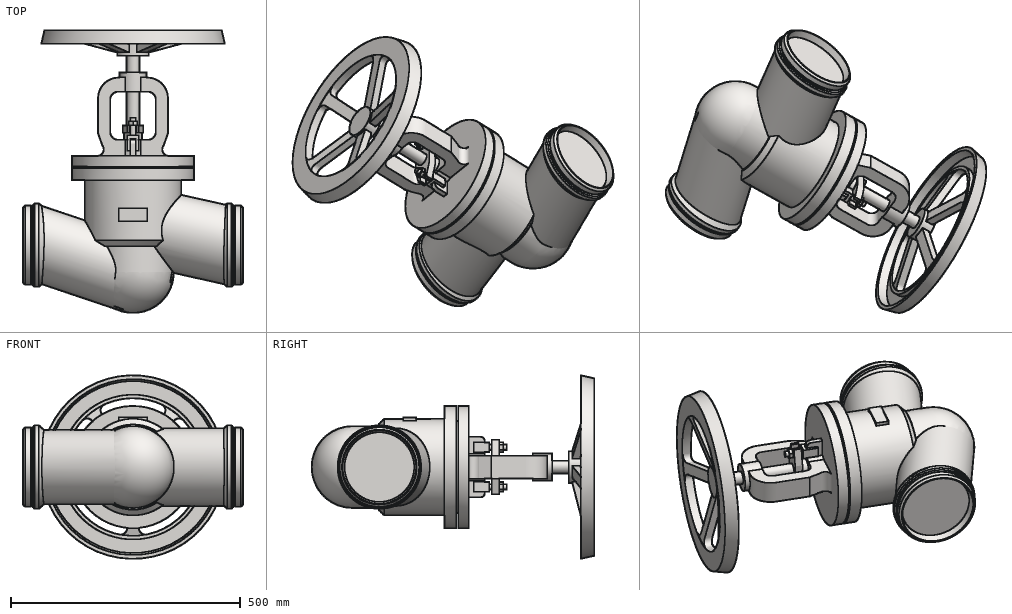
import cadquery as cq
import math


body_radius = 105.5
body_bottom = -2.0
body_chamfer = 12.5
bowl_radius = 89.0
bowl_center = -58.5

flange_radius = 266.5 / 2
body_flange_bottom = 141.5
body_flange_top = 167.5
gasket_radius = 100.5
bonnet_flange_bottom = 171.0
bonnet_top = 194.5

inlet_radius = 162.0 / 2
inlet_slope = math.tan(math.radians(18.6))
inlet_height = -66.5
inlet_inner_x = -7.5
outlet_radius = 170.0 / 2
outlet_slope = math.tan(math.radians(12.6))
outlet_height = 46.0
outlet_inner_x = 24.5

end_face = 480.0 / 2
end_radius = 173.0 / 2
end_chamfer = 5.0
land_inner = 222.5
groove_x = 219.0
groove_depth = 2.5
ring_radius = 91.0
ring_chamfer = 3.0
ring_outer = 217.5
ring_inner = 205.0
end_inner = 193.5
end_inner_radius = 80.5
bore_mouth_radius = 80.0
bore_floor_radius = 76.0
bore_depth = 16.5

yoke_half_width = 76.5
yoke_half_depth = 50.0 / 2
yoke_top = 365.0
yoke_shoulder_radius = 45.5
yoke_knee = 244.0
yoke_neck_half_width = 67.0
yoke_neck_height = 217.5
yoke_waist_half_width = 64.0
yoke_waist_height = 209.5
yoke_foot_half_width = 76.5
window_half_width = 49.0
window_bottom = 230.0
window_top = 334.0
window_fillet = 16.5
boss_radius = 60.0 / 2
boss_top = 376.0
stem_radius = 14.0

gland_neck_radius = 40.0 / 2
gland_bottom = 244.5
gland_top = 261.0
gland_half_width = 23.0
gland_shoulder_z = 23.0
gland_end_half_width = 13.0
gland_half_length = 60.0
gland_slot_width = 15.5
bolt_z = 43.0
bolt_radius = 6.0
bolt_tip = 278.0
nut_height = 8.5
nut_across_corners = 22.0
clevis_width = 24.0
clevis_depth = 21.5
clevis_bottom = 205.5
clevis_top = 239.5
clevis_web = 8.0
lug_thickness = 11.0
lug_half_span = 132.5 / 2
lug_top = 230.0
lug_fillet = 10.0

wheel_radius = 200.0
wheel_taper = 7.0
wheel_bottom = 438.5
wheel_top = 468.0
rim_wall = 8.5
channel_depth = 20.5
channel_taper = 4.5
channel_inner_radius = 157.5
lip_bottom = 448.0
rim_inner_radius = 149.5
hub_radius = 69.5 / 2
hub_bottom = 412.0
hub_top = 442.0
spoke_count = 5
spoke_width = 26.5
spoke_thickness = 18.0
spoke_start = 420.0
spoke_end = 451.5
spoke_fillet = 13.5

plate_width = 61.5
plate_bottom = 52.0
plate_top = 80.0
plate_face = 108.5


def disc(radius, bottom, top, x=0.0, z=0.0):
    """Cylinder along Y between two heights."""
    axis = cq.Vector(0, 1, 0)
    return cq.Workplane(cq.Solid.makeCylinder(radius, top - bottom, cq.Vector(x, bottom, z), axis))


def block(width, bottom, top, depth, z=0.0):
    """Box centred on X = 0 between two heights."""
    height = top - bottom
    return cq.Workplane("XY").box(width, height, depth).translate((0, (bottom + top) / 2, z))


def turned_on_spindle(points):
    """Solid of revolution about Y from (radius, height) points."""
    return cq.Workplane("XY").polyline(points).close().revolve(360, (0, 0, 0), (0, 1, 0))


def make_body():
    shoulder = body_bottom + body_chamfer
    barrel = turned_on_spindle([
        (0, body_bottom),
        (body_radius - body_chamfer, body_bottom),
        (body_radius, shoulder),
        (body_radius, body_flange_bottom),
        (flange_radius, body_flange_bottom),
        (flange_radius, body_flange_top),
        (gasket_radius, body_flange_top),
        (gasket_radius, bonnet_flange_bottom),
        (flange_radius, bonnet_flange_bottom),
        (flange_radius, bonnet_top),
        (0, bonnet_top),
    ])
    neck = disc(bowl_radius, bowl_center, shoulder)
    bowl = cq.Workplane("XY").sphere(bowl_radius).translate((0, bowl_center, 0))
    plate_height = (plate_bottom + plate_top) / 2
    plate = (
        cq.Workplane("XY")
        .center(0, plate_height)
        .rect(plate_width, plate_top - plate_bottom)
        .extrude(plate_face)
    )
    return barrel.union(neck).union(bowl).union(plate)


def make_branch(radius, slope, height, inner_x, side):
    """Inclined pipe whose axis drops by slope per unit of X, cut square inside the weld end."""
    outer_x = side * end_face
    start = cq.Vector(inner_x, height - slope * inner_x, 0)
    stop = cq.Vector(outer_x, height - slope * outer_x, 0)
    run = stop - start
    pipe = cq.Workplane(cq.Solid.makeCylinder(radius, run.Length, start, run))
    reach = 2 * flange_radius
    between_ends = block(2 * ring_inner, -reach, reach, 2 * reach)
    return pipe.intersect(between_ends)


def make_weld_end(side):
    """Turned weld end about the X axis, on the +X (side = 1) or -X (side = -1) end."""
    profile = [
        (end_inner, 0),
        (end_inner, end_inner_radius),
        (ring_inner, ring_radius),
        (ring_outer - ring_chamfer, ring_radius),
        (ring_outer, ring_radius - ring_chamfer),
        (groove_x, end_radius - groove_depth),
        (land_inner, end_radius),
        (end_face - end_chamfer, end_radius),
        (end_face, end_radius - end_chamfer),
        (end_face, bore_mouth_radius),
        (end_face - bore_depth, bore_floor_radius),
        (end_face - bore_depth, 0),
    ]
    points = [(side * x, radius) for x, radius in profile]
    return cq.Workplane("XY").polyline(points).close().revolve(360, (0, 0, 0), (1, 0, 0))


def make_yoke():
    shoulder_x = yoke_half_width - yoke_shoulder_radius
    shoulder_y = yoke_top - yoke_shoulder_radius
    bend = yoke_shoulder_radius * math.sqrt(0.5)
    frame = (
        cq.Workplane("XY", origin=(0, 0, -yoke_half_depth))
        .moveTo(-yoke_foot_half_width, bonnet_top)
        .threePointArc(
            (-yoke_waist_half_width, yoke_waist_height),
            (-yoke_neck_half_width, yoke_neck_height),
        )
        .lineTo(-yoke_half_width, yoke_knee)
        .lineTo(-yoke_half_width, shoulder_y)
        .threePointArc((-shoulder_x - bend, shoulder_y + bend), (-shoulder_x, yoke_top))
        .lineTo(shoulder_x, yoke_top)
        .threePointArc((shoulder_x + bend, shoulder_y + bend), (yoke_half_width, shoulder_y))
        .lineTo(yoke_half_width, yoke_knee)
        .lineTo(yoke_neck_half_width, yoke_neck_height)
        .threePointArc(
            (yoke_waist_half_width, yoke_waist_height),
            (yoke_foot_half_width, bonnet_top),
        )
        .close()
        .extrude(2 * yoke_half_depth)
    )
    window = block(2 * window_half_width, window_bottom, window_top, 4 * yoke_half_depth)
    window = window.edges("|Z").fillet(window_fillet)
    stuffing_box = disc(boss_radius, bonnet_top, window_bottom)
    spindle_boss = disc(boss_radius, window_top, boss_top)
    return frame.cut(window).union(stuffing_box).union(spindle_boss)


def make_gland():
    quarter = [(gland_end_half_width, gland_half_length), (gland_half_width, gland_shoulder_z)]
    right_side = quarter + [(x, -z) for x, z in reversed(quarter)]
    left_side = [(-x, -z) for x, z in right_side]
    follower = (
        cq.Workplane("XZ", origin=(0, gland_top, 0))
        .polyline(right_side + left_side)
        .close()
        .extrude(gland_top - gland_bottom)
    )
    slot_depth = gland_half_length - bolt_z
    for side in (-1, 1):
        mouth_z = side * (bolt_z + slot_depth / 2)
        follower = follower.cut(block(gland_slot_width, gland_bottom, gland_top, slot_depth, mouth_z))
        follower = follower.cut(
            disc(gland_slot_width / 2, gland_bottom, gland_top, z=side * bolt_z)
        )
    neck = disc(gland_neck_radius, window_bottom, gland_bottom)
    return follower.union(neck)


def make_eye_bolt(side):
    """Swing bolt on the +Z or -Z side: forked foot, shank and hexagon nut."""
    z = side * bolt_z
    fork = block(clevis_width, clevis_bottom, clevis_top, clevis_depth, z)
    fork_gap = block(lug_thickness, clevis_bottom, clevis_top - clevis_web, clevis_depth, z)
    shank = disc(bolt_radius, clevis_top - clevis_web, bolt_tip, z=z)
    nut = (
        cq.Workplane("XZ", origin=(0, gland_top, z))
        .polygon(6, nut_across_corners)
        .extrude(-nut_height)
        .rotate((0, 0, z), (0, 1, z), 90)
    )
    return fork.cut(fork_gap).union(shank).union(nut)


def make_lugs():
    """Thin rib across the stuffing box that carries the forked feet of the bolts."""
    rib = block(lug_thickness, bonnet_top, lug_top, 2 * lug_half_span)
    return rib.edges("|X and >Y").fillet(lug_fillet)


def make_spoke(index):
    """Inclined spoke, flared where it meets the rim."""
    side_profile = [
        (0, spoke_start),
        (hub_radius, spoke_start),
        (channel_inner_radius, spoke_end),
        (channel_inner_radius, spoke_end + spoke_thickness),
        (hub_radius, spoke_start + spoke_thickness),
        (0, spoke_start + spoke_thickness),
    ]
    slab = (
        cq.Workplane("XY", origin=(0, 0, -rim_inner_radius))
        .polyline(side_profile)
        .close()
        .extrude(2 * rim_inner_radius)
    )
    half_width = spoke_width / 2
    fillet_offset = half_width + spoke_fillet
    fillet_x = math.sqrt((rim_inner_radius - spoke_fillet) ** 2 - fillet_offset**2)
    touch = rim_inner_radius / (rim_inner_radius - spoke_fillet)
    outline = (
        cq.Workplane("XZ", origin=(0, wheel_top, 0))
        .moveTo(0, -half_width)
        .lineTo(fillet_x, -half_width)
        .lineTo(fillet_x * touch, -fillet_offset * touch)
        .lineTo(channel_inner_radius, 0)
        .lineTo(fillet_x * touch, fillet_offset * touch)
        .lineTo(fillet_x, half_width)
        .lineTo(0, half_width)
        .close()
        .extrude(wheel_top - hub_bottom)
    )
    for side in (-1, 1):
        outline = outline.cut(
            disc(spoke_fillet, hub_bottom, wheel_top, x=fillet_x, z=side * fillet_offset)
        )
    spoke = slab.intersect(outline)
    return spoke.rotate((0, 0, 0), (0, 1, 0), 90 + index * 360 / spoke_count)


def make_handwheel():
    channel_floor = wheel_bottom + channel_depth
    channel_outer_radius = wheel_radius - rim_wall
    wheel = turned_on_spindle([
        (wheel_radius, wheel_bottom),
        (wheel_radius - wheel_taper, wheel_top),
        (rim_inner_radius, wheel_top),
        (rim_inner_radius, lip_bottom),
        (channel_inner_radius, lip_bottom),
        (channel_inner_radius, channel_floor),
        (channel_outer_radius - channel_taper, channel_floor),
        (channel_outer_radius, wheel_bottom),
    ])
    wheel = wheel.union(disc(hub_radius, hub_bottom, hub_top))
    for index in range(spoke_count):
        wheel = wheel.union(make_spoke(index))
    return wheel


valve = make_body()
valve = valve.union(make_branch(inlet_radius, inlet_slope, inlet_height, inlet_inner_x, -1))
valve = valve.union(make_branch(outlet_radius, outlet_slope, outlet_height, outlet_inner_x, 1))
for end_side in (-1, 1):
    valve = valve.union(make_weld_end(end_side))
valve = valve.union(make_yoke()).union(make_lugs()).union(make_gland())
for bolt_side in (-1, 1):
    valve = valve.union(make_eye_bolt(bolt_side))
valve = valve.union(disc(stem_radius, bonnet_top, hub_top)).union(make_handwheel())

result = cq.Workplane(valve.solids().val())